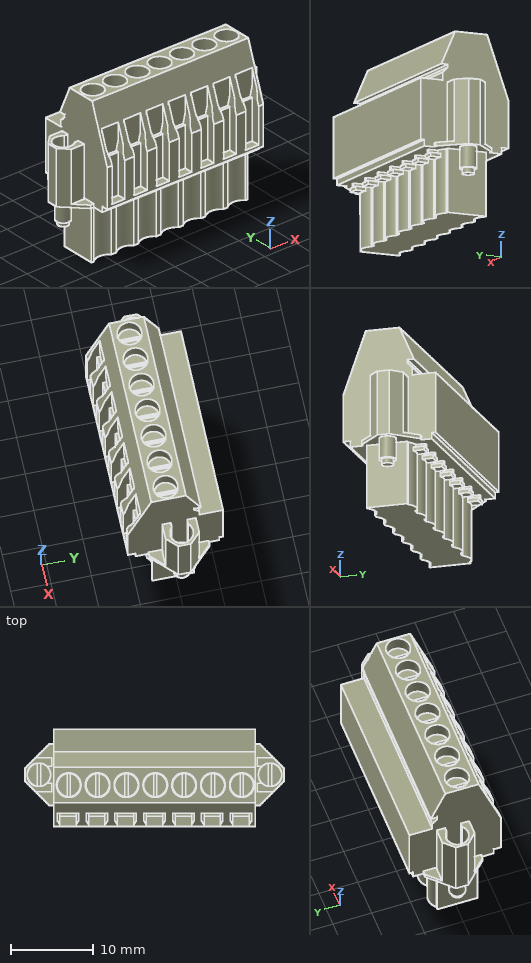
import cadquery as cq


POLES = 7
HOUSING_LENGTH = 24.5
PITCH = HOUSING_LENGTH / POLES
POLE_XS = [(i - (POLES - 1) / 2) * PITCH for i in range(POLES)]

FRONT_Y = -6.3
BACK_Y = 5.53
TOP_Z = 22.6
TOP_FRONT_Y = -3.4
TOP_BACK_Y = 0.9
SLOPE_FOOT_Z = 14.62
SHELF_Z = 16.38
NECK_Y = 2.58
NECK_TOP_Z = 17.35
NOTCH_Y = 1.92
NOTCH_FLOOR_Z = NECK_TOP_Z + NECK_Y - NOTCH_Y
NOTCH_ROOF_Z = 18.4
LIP_Y = 2.77
BASE_Z = 7.95
BASE_STEP_Z = 8.75
BASE_FRONT_Y = -5.35
BASE_BACK_Y = 5.05

PLUG_FRONT_Y = -3.27
PLUG_BACK_Y = 1.92
SCALLOP_WIDTH = 2.77
SCALLOP_DEPTH = 0.6

HOOK_OUTER_Y = 3.75
HOOK_LAYER = 0.47
HOOK_NECK_WIDTH = 0.45
HOOK_HEAD_WIDTH = 1.5

ENTRY_FLOOR_Z = 9.2
ENTRY_LEDGE_Z = 15.25
ENTRY_TAPER_Z = 16.6
ENTRY_TOP_Z = 19.15
ENTRY_LOWER_WIDTH = 1.98
ENTRY_UPPER_WIDTH = 2.6
ENTRY_LOWER_WALL_Y = -5.05

CLAMP_OFFSET_X = 0.1
CLAMP_Y = -1.25
CLAMP_BORE_DIAMETER = 3.0
CLAMP_SCREW_DIAMETER = 2.83
CLAMP_SCREW_RECESS = 1.82
HEAD_HEIGHT = 1.9
CLAMP_FLOOR_Z = TOP_Z - CLAMP_SCREW_RECESS - HEAD_HEIGHT
DRIVE_SLOT_WIDTH = 0.4
DRIVE_SLOT_DEPTH = 0.47

FLANGE_END_X = 15.72
FLANGE_END_WIDTH = 1.57
FLANGE_WIDTH = 7.48
PLATE_THICKNESS = 0.47
PLATE_TOP_Z = BASE_Z + PLATE_THICKNESS
BOSS_INNER_X = 12.45
BOSS_WIDTH = 4.18
BOSS_TOP_Z = 16.1
BOSS_GAP_WIDTH = 2.0

FLANGE_SCREW_X = 14.02
FLANGE_HEAD_DIAMETER = 2.83
SHANK_DIAMETER = 2.05
SHANK_END_Z = 5.28
TIP_DIAMETER = 1.48
TIP_END_Z = 4.62


def box(x_range, y_range, z_range):
    """Box between the given limits along each axis."""
    (x0, x1), (y0, y1), (z0, z1) = x_range, y_range, z_range
    return cq.Workplane("XY").box(x1 - x0, y1 - y0, z1 - z0, centered=False).translate((x0, y0, z0))


def cylinder(x, y, z0, z1, diameter):
    """Upright cylinder between two heights."""
    return cq.Workplane("XY").center(x, y).circle(diameter / 2).extrude(z1 - z0).translate((0, 0, z0))


def upper_block():
    """Prism along X carrying the clamps, with a snap notch along its back."""
    profile = [
        (BASE_FRONT_Y, BASE_Z),
        (BASE_FRONT_Y, BASE_STEP_Z),
        (FRONT_Y, BASE_STEP_Z),
        (FRONT_Y, SLOPE_FOOT_Z),
        (TOP_FRONT_Y, TOP_Z),
        (TOP_BACK_Y, TOP_Z),
        (LIP_Y, NOTCH_ROOF_Z),
        (NOTCH_Y, NOTCH_ROOF_Z),
        (NOTCH_Y, NOTCH_FLOOR_Z),
        (NECK_Y, NECK_TOP_Z),
        (NECK_Y, SHELF_Z),
        (BACK_Y, SHELF_Z),
        (BACK_Y, BASE_STEP_Z),
        (BASE_BACK_Y, BASE_STEP_Z),
        (BASE_BACK_Y, BASE_Z),
    ]
    return cq.Workplane("YZ").polyline(profile).close().extrude(HOUSING_LENGTH / 2, both=True)


def plug_block():
    """Plug block with a concave arc in front of each pole and an equal convex arc behind it."""
    half_length = HOUSING_LENGTH / 2
    half_arc = SCALLOP_WIDTH / 2
    outline = cq.Workplane("XY").moveTo(-half_length, PLUG_FRONT_Y)
    for x in POLE_XS:
        outline = outline.lineTo(x - half_arc, PLUG_FRONT_Y)
        outline = outline.threePointArc((x, PLUG_FRONT_Y + SCALLOP_DEPTH), (x + half_arc, PLUG_FRONT_Y))
    outline = outline.lineTo(half_length, PLUG_FRONT_Y).lineTo(half_length, PLUG_BACK_Y)
    for x in reversed(POLE_XS):
        outline = outline.lineTo(x + half_arc, PLUG_BACK_Y)
        outline = outline.threePointArc((x, PLUG_BACK_Y + SCALLOP_DEPTH), (x - half_arc, PLUG_BACK_Y))
    return outline.lineTo(-half_length, PLUG_BACK_Y).close().extrude(BASE_Z)


def coding_hook(x):
    """Inverted T under the base: a narrow neck with a wider head below it."""
    y_range = (PLUG_BACK_Y, HOOK_OUTER_Y)
    neck_z = BASE_Z - HOOK_LAYER
    neck = box((x - HOOK_NECK_WIDTH / 2, x + HOOK_NECK_WIDTH / 2), y_range, (neck_z, BASE_Z))
    head = box((x - HOOK_HEAD_WIDTH / 2, x + HOOK_HEAD_WIDTH / 2), y_range, (neck_z - HOOK_LAYER, neck_z))
    return neck.union(head)


def wire_entry(x):
    """Pocket cut from the front: shallow and wide above a ledge, deeper and narrow below it."""
    slope_run = (TOP_FRONT_Y - FRONT_Y) / (TOP_Z - SLOPE_FOOT_Z)
    upper_wall_y = TOP_FRONT_Y - slope_run * (TOP_Z - ENTRY_TOP_Z)
    half_lower = ENTRY_LOWER_WIDTH / 2
    half_upper = ENTRY_UPPER_WIDTH / 2
    outline = [
        (x - half_lower, ENTRY_LEDGE_Z),
        (x - half_upper, ENTRY_TAPER_Z),
        (x - half_upper, ENTRY_TOP_Z),
        (x + half_upper, ENTRY_TOP_Z),
        (x + half_upper, ENTRY_TAPER_Z),
        (x + half_lower, ENTRY_LEDGE_Z),
    ]
    upper = cq.Workplane("XZ", origin=(0, upper_wall_y, 0)).polyline(outline).close()
    upper = upper.extrude(upper_wall_y - FRONT_Y)
    lower = box(
        (x - half_lower, x + half_lower),
        (FRONT_Y, ENTRY_LOWER_WALL_Y),
        (ENTRY_FLOOR_Z, ENTRY_LEDGE_Z),
    )
    return upper.union(lower)


def flange_prism(side, height):
    """Trapezoid with 45-degree flanks, from the housing end out to the flange end."""
    half_end = FLANGE_END_WIDTH / 2
    half_width = FLANGE_WIDTH / 2
    flank_x = FLANGE_END_X - (half_width - half_end)
    points = [
        (HOUSING_LENGTH / 2, -half_width),
        (flank_x, -half_width),
        (FLANGE_END_X, -half_end),
        (FLANGE_END_X, half_end),
        (flank_x, half_width),
        (HOUSING_LENGTH / 2, half_width),
    ]
    points = [(side * x, y) for x, y in points]
    return cq.Workplane("XY", origin=(0, 0, BASE_Z)).polyline(points).close().extrude(height)


def flange(side):
    """Base plate with a boss; the boss is bored for a screw head and open towards the housing."""
    boss_x = sorted((side * BOSS_INNER_X, side * FLANGE_END_X))
    gap_x = sorted((side * BOSS_INNER_X, side * FLANGE_SCREW_X))
    boss_limits = box(boss_x, (-BOSS_WIDTH / 2, BOSS_WIDTH / 2), (BASE_Z, BOSS_TOP_Z))
    boss = flange_prism(side, BOSS_TOP_Z - BASE_Z).intersect(boss_limits)
    head_bore = cylinder(side * FLANGE_SCREW_X, 0, PLATE_TOP_Z, BOSS_TOP_Z, FLANGE_HEAD_DIAMETER)
    gap = box(gap_x, (-BOSS_GAP_WIDTH / 2, BOSS_GAP_WIDTH / 2), (PLATE_TOP_Z, BOSS_TOP_Z))
    shank_hole = cylinder(side * FLANGE_SCREW_X, 0, BASE_Z, PLATE_TOP_Z, SHANK_DIAMETER)
    plate = flange_prism(side, PLATE_THICKNESS)
    return plate.union(boss).cut(head_bore).cut(gap).cut(shank_hole)


def make_housing():
    body = upper_block().union(plug_block())
    for x in POLE_XS:
        body = body.union(coding_hook(x))
        body = body.cut(wire_entry(x))
        clamp_x = x + CLAMP_OFFSET_X
        body = body.cut(cylinder(clamp_x, CLAMP_Y, CLAMP_FLOOR_Z, TOP_Z, CLAMP_BORE_DIAMETER))
    for side in (-1, 1):
        body = body.union(flange(side))
    return body


def slotted_head(x, y, z0, diameter):
    """Cylindrical screw head with a drive slot along Y across its top."""
    top_z = z0 + HEAD_HEIGHT
    head = cylinder(x, y, z0, top_z, diameter)
    slot = box(
        (x - DRIVE_SLOT_WIDTH / 2, x + DRIVE_SLOT_WIDTH / 2),
        (y - diameter / 2, y + diameter / 2),
        (top_z - DRIVE_SLOT_DEPTH, top_z),
    )
    return head.cut(slot)


def make_clamp_screw(x):
    """Clamping screw resting on the floor of its bore."""
    return slotted_head(x + CLAMP_OFFSET_X, CLAMP_Y, CLAMP_FLOOR_Z, CLAMP_SCREW_DIAMETER)


def make_flange_screw(side):
    """Flange screw: head on the plate, shank through it and a reduced tip."""
    x = side * FLANGE_SCREW_X
    head = slotted_head(x, 0, PLATE_TOP_Z, FLANGE_HEAD_DIAMETER)
    shank = cylinder(x, 0, SHANK_END_Z, PLATE_TOP_Z, SHANK_DIAMETER)
    tip = cylinder(x, 0, TIP_END_Z, SHANK_END_Z, TIP_DIAMETER)
    return head.union(shank).union(tip)


housing = make_housing()
clamp_screws = [make_clamp_screw(x) for x in POLE_XS]
flange_screws = [make_flange_screw(side) for side in (-1, 1)]

result = cq.Compound.makeCompound(
    [
        housing.solids().val(),
        *[screw.solids().val() for screw in clamp_screws],
        *[screw.solids().val() for screw in flange_screws],
    ]
)